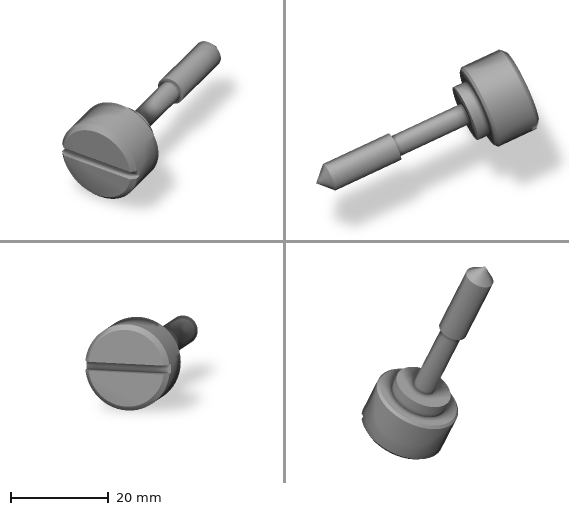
import cadquery as cq

total_length = 47.0
head_length = 10.0
collar_length = 1.97
washer_thickness = 0.9
shank_length = 18.0

head_diameter = 18.0
collar_diameter = 12.0
neck_diameter = 4.5
shank_diameter = 6.0

front_chamfer = 1.0
back_chamfer = 0.5
slot_width = 1.9
slot_depth = 2.0

front_y = -total_length / 2
head_back_y = front_y + head_length
collar_end_y = head_back_y + collar_length
tip_y = front_y + total_length
shank_start_y = tip_y - shank_length
point_length = shank_diameter / 2
point_start_y = tip_y - point_length


def cylinder(diameter, start_y, end_y):
    """Solid cylinder about the Y axis between two stations."""
    plane = cq.Plane(origin=(0, start_y, 0), xDir=(1, 0, 0), normal=(0, 1, 0))
    return cq.Workplane(plane).circle(diameter / 2).extrude(end_y - start_y)


def make_screw():
    """Slotted screw with chamfered head, collar, thin neck and pointed shank."""
    head = cylinder(head_diameter, front_y, head_back_y)
    head = head.faces("<Y").chamfer(front_chamfer)
    head = head.faces(">Y").chamfer(back_chamfer)

    slot = cq.Workplane("XY").box(
        head_diameter, slot_depth, slot_width, centered=(True, False, True)
    ).translate((0, front_y, 0))
    head = head.cut(slot)

    collar = cylinder(collar_diameter, head_back_y, collar_end_y)
    neck = cylinder(neck_diameter, collar_end_y, shank_start_y)
    shank = cylinder(shank_diameter, shank_start_y, point_start_y)
    point = cq.Workplane(cq.Solid.makeCone(
        shank_diameter / 2, 0, point_length,
        pnt=cq.Vector(0, point_start_y, 0), dir=cq.Vector(0, 1, 0),
    ))
    return head.union(collar).union(neck).union(shank).union(point)


def make_washer():
    """Plain ring around the neck, resting against the collar."""
    washer_end_y = collar_end_y + washer_thickness
    ring = cylinder(collar_diameter, collar_end_y, washer_end_y)
    bore = cylinder(neck_diameter, collar_end_y, washer_end_y)
    return ring.cut(bore)


screw = make_screw()
washer = make_washer()

result = cq.Compound.makeCompound([screw.val(), washer.val()])